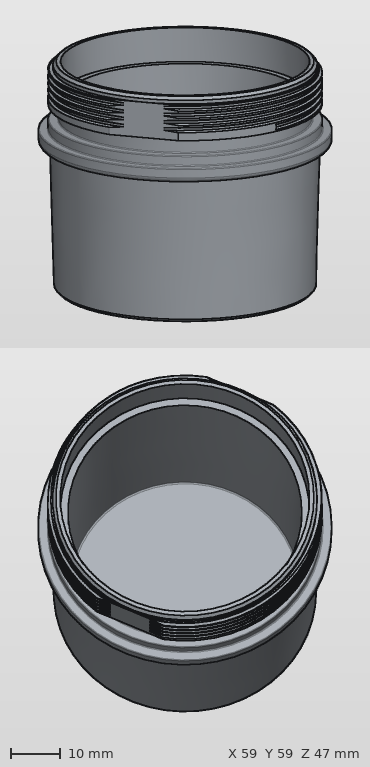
import cadquery as cq

total_height = 47.0
thread_top = 45.6
thread_bottom = 38.25
collar_top = 35.1
flange_top = 33.0
flange_bottom = 30.0
ledge_height = 39.95
floor_thickness = 2.95

flange_radius = 29.5
thread_crest_radius = 27.55
collar_radius = thread_crest_radius
rim_radius = 26.55
neck_radius = 25.5
body_top_radius = 27.2
body_base_radius = 26.4

mouth_radius = 25.0
cavity_top_radius = 23.5
cavity_floor_radius = 23.0

rim_chamfer = 0.65
flange_fillet = 1.05
base_chamfer = 0.65
small_fillet = 0.2
corner_fillet = 0.3

match_tolerance = 0.005

thread_pitch = 1.5
thread_depth = 0.65
crest_width = 0.4
root_width = 0.55
groove_start_height = 39.1
groove_start_angle = -30.0
cut_clearance = 0.3

flat_distance = rim_radius


def round_edge(body, radius, height, fillet):
    """Fillet the circular edge that has this radius and lies at this height."""
    def is_wanted(edge):
        if edge.geomType() != "CIRCLE":
            return False
        radius_error = abs(edge.radius() - radius)
        height_error = abs(edge.Center().z - height)
        return max(radius_error, height_error) < match_tolerance

    return body.edges().filter(is_wanted).fillet(fillet)


def make_outer_body():
    """Solid of revolution with the tapered cup, flange, collar, neck, thread band and rim."""
    body = (
        cq.Workplane("XZ")
        .lineTo(body_base_radius - base_chamfer, 0)
        .lineTo(body_base_radius, base_chamfer)
        .lineTo(body_top_radius, flange_bottom)
        .lineTo(flange_radius, flange_bottom)
        .lineTo(flange_radius, flange_top)
        .lineTo(collar_radius, flange_top)
        .lineTo(collar_radius, collar_top)
        .lineTo(neck_radius, collar_top)
        .lineTo(neck_radius, thread_bottom)
        .lineTo(thread_crest_radius, thread_bottom)
        .lineTo(thread_crest_radius, thread_top)
        .lineTo(rim_radius, thread_top)
        .lineTo(rim_radius, total_height - rim_chamfer)
        .lineTo(rim_radius - rim_chamfer, total_height)
        .lineTo(0, total_height)
        .close()
        .revolve(360, (0, 0, 0), (0, 1, 0))
    )
    rounded_edges = [
        (body_top_radius, flange_bottom, corner_fillet),
        (flange_radius, flange_bottom, flange_fillet),
        (flange_radius, flange_top, small_fillet),
        (collar_radius, flange_top, small_fillet),
        (collar_radius, collar_top, small_fillet),
        (neck_radius, collar_top, small_fillet),
        (neck_radius, thread_bottom, small_fillet),
    ]
    for radius, height, fillet in rounded_edges:
        body = round_edge(body, radius, height, fillet)
    return body


def make_cavity():
    """Inner space: a straight mouth, a ledge and a tapered cup down to a rounded floor edge."""
    cavity = (
        cq.Workplane("XZ")
        .moveTo(0, floor_thickness)
        .lineTo(cavity_floor_radius, floor_thickness)
        .lineTo(cavity_top_radius, ledge_height)
        .lineTo(mouth_radius, ledge_height)
        .lineTo(mouth_radius, total_height)
        .lineTo(0, total_height)
        .close()
        .revolve(360, (0, 0, 0), (0, 1, 0))
    )
    return round_edge(cavity, cavity_floor_radius, floor_thickness, corner_fillet)


def make_thread_groove():
    """Helical cutter with a trapezoid section, running out through the top of the thread band."""
    root_radius = thread_crest_radius - thread_depth
    outer_radius = thread_crest_radius + cut_clearance
    half_root = root_width / 2
    half_crest_gap = (thread_pitch - crest_width) / 2
    flank_slope = (half_crest_gap - half_root) / thread_depth
    half_mouth = half_crest_gap + flank_slope * cut_clearance
    helix_height = thread_top + thread_pitch - groove_start_height
    path = cq.Wire.makeHelix(thread_pitch, helix_height, root_radius)
    return (
        cq.Workplane("XZ")
        .polyline([
            (root_radius, -half_root),
            (outer_radius, -half_mouth),
            (outer_radius, half_mouth),
            (root_radius, half_root),
        ])
        .close()
        .sweep(cq.Workplane(obj=path), isFrenet=True)
        .rotate((0, 0, 0), (0, 0, 1), groove_start_angle)
        .translate((0, 0, groove_start_height))
    )


def make_flat_cutter(side):
    """Block that trims the thread band to a flat on the given Y side (+1 or -1)."""
    block_depth = thread_crest_radius - flat_distance + cut_clearance
    return (
        cq.Workplane("XY")
        .box(2 * thread_crest_radius, block_depth, thread_top - thread_bottom)
        .translate((0, side * (flat_distance + block_depth / 2), (thread_top + thread_bottom) / 2))
    )


result = make_outer_body().cut(make_thread_groove()).cut(make_cavity())
for side in (-1, 1):
    result = result.cut(make_flat_cutter(side))